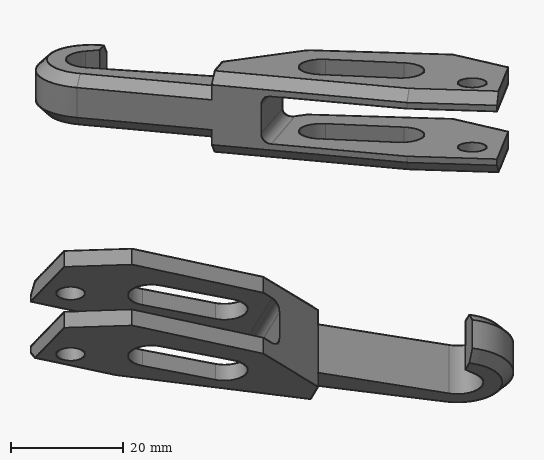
import cadquery as cq
import math


hook_radius = 10.0
throat_radius = 4.6
hook_thickness = 9.6
mouth_angle = math.radians(30)
arm_taper = math.radians(4)

body_thickness = 15.3
body_start = 24.9
body_end = 86.8 - hook_radius
body_height = 21.9
shoulder = (37.8, 17.3)
peak_x = 63.3
end_top = (74.7, 17.8)
back_bend_x = 60.9
back_bend_angle = math.radians(10)
back_chamfer = 2.0

slot_start = 34.0
slot_width = 8.9
slot_corner_radius = 1.8

window_radius = 4.2
window_left = (42.8, 9.1)
window_right = (56.7, 11.0)
pin_hole_diameter = 5.1
pin_hole_center = (70.8, 7.9)


def throat_point(angle):
    """Point on the throat circle at an angle measured from +X."""
    return (
        throat_radius * math.cos(angle),
        hook_radius + throat_radius * math.sin(angle),
    )


def extrude_centered(sketch, thickness):
    return sketch.extrude(thickness / 2, both=True)


throat_bottom = throat_point(arm_taper - math.pi / 2)
throat_top = throat_point(mouth_angle + math.pi / 2)
mouth_y = hook_radius + throat_radius / math.cos(mouth_angle)
arm_end_y = throat_bottom[1] + (body_start - throat_bottom[0]) * math.tan(arm_taper)
body_end_y = (body_end - back_bend_x) * math.tan(back_bend_angle)


def make_hook():
    outline = (
        cq.Workplane("XY")
        .moveTo(body_start, 0)
        .lineTo(0, 0)
        .threePointArc((-hook_radius, hook_radius), (0, 2 * hook_radius))
        .lineTo(0, mouth_y)
        .lineTo(*throat_top)
        .threePointArc(throat_point(math.pi), throat_bottom)
        .lineTo(body_start, arm_end_y)
        .close()
    )
    hook = extrude_centered(outline, hook_thickness)
    return hook.faces("<Y").edges("|X").chamfer(back_chamfer)


def make_body():
    outline = cq.Workplane("XY").polyline([
        (body_start, 0),
        (back_bend_x, 0),
        (body_end, body_end_y),
        end_top,
        (peak_x, body_height),
        shoulder,
        (body_start, arm_end_y),
    ]).close()
    body = extrude_centered(outline, body_thickness)
    back_middles = [
        ((body_start + back_bend_x) / 2, 0),
        ((back_bend_x + body_end) / 2, body_end_y / 2),
    ]
    back_edges = [
        cq.NearestToPointSelector((x, y, side * body_thickness / 2))
        for x, y in back_middles
        for side in (-1, 1)
    ]
    selector = back_edges[0]
    for edge in back_edges[1:]:
        selector = selector + edge
    return body.edges(selector).chamfer(back_chamfer)


def make_slot():
    length = body_end - slot_start
    return (
        cq.Workplane("XY")
        .box(length, body_height, slot_width, centered=(False, False, True))
        .translate((slot_start, 0, 0))
        .edges("<X and |Y")
        .fillet(slot_corner_radius)
    )


def make_window():
    run = window_right[0] - window_left[0]
    rise = window_right[1] - window_left[1]
    center = ((window_left[0] + window_right[0]) / 2, (window_left[1] + window_right[1]) / 2)
    outline = (
        cq.Workplane("XY")
        .center(*center)
        .slot2D(math.hypot(run, rise) + 2 * window_radius, 2 * window_radius,
                math.degrees(math.atan2(rise, run)))
    )
    return extrude_centered(outline, body_thickness)


def make_pin_hole():
    outline = cq.Workplane("XY").center(*pin_hole_center).circle(pin_hole_diameter / 2)
    return extrude_centered(outline, body_thickness)


result = make_hook().union(make_body())
for cutter in (make_slot(), make_window(), make_pin_hole()):
    result = result.cut(cutter)